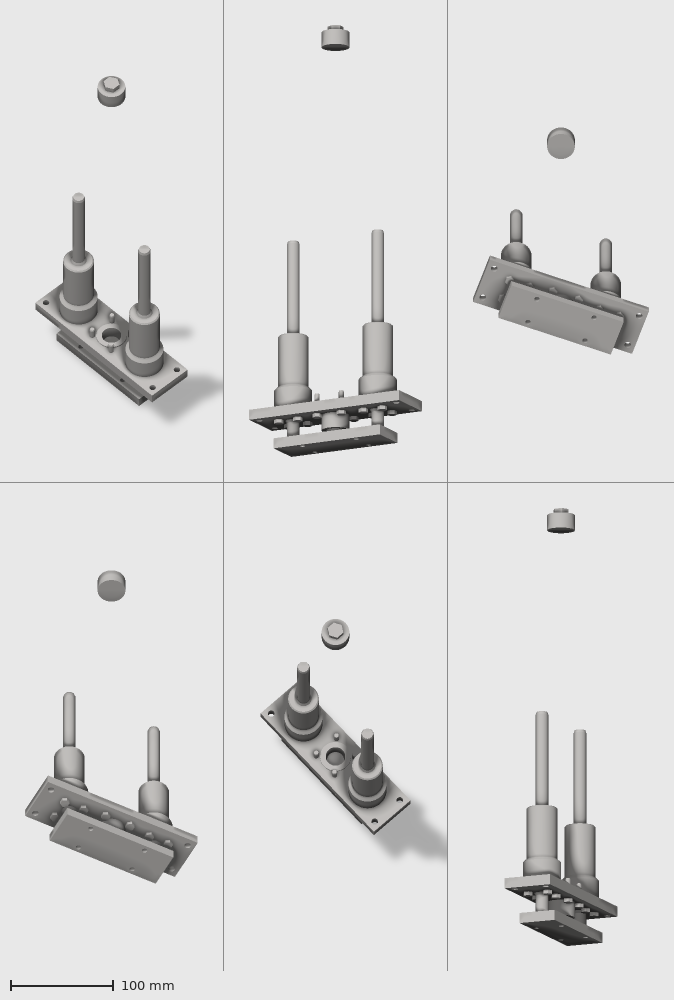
import cadquery as cq
import math

total_height = 421.0

base_length = 116.0
base_width = 37.0
plate_thickness = 10.0
base_hole_dia = 5.0
base_hole_x = 29.5
base_hole_y = 13.0
rod_dia = 12.0
rod_top = 210.5
rod_chamfer_height = 2.5
rod_chamfer_width = 1.0
rod_spacing = 92.5
post_dia = 17.0

flange_length = 164.0
flange_width = 48.0
plate_gap = 20.0
corner_hole_dia = 6.5
corner_hole_x = 75.0
corner_hole_y = 16.5

bushing_base_dia = 37.0
bushing_base_height = 20.0
bushing_neck_dia = 30.0
bushing_neck_top = 115.5
bushing_neck_chamfer = 1.3
lip_dia = 15.5
lip_height = 2.5

boss_dia = 30.0
boss_height = 1.3
sleeve_dia = 27.0
sleeve_length = 15.0
bore_dia = 19.0

screw_dia = 5.0
screw_tip_dia = 4.12
screw_chamfer_height = 1.3
screw_stick_out = 10.0
head_across_flats = 8.0
head_height = 3.8
sleeve_screw_spacing = 26.5
bushing_screw_spacing = 20.5

cap_dia = 27.0
cap_height = 15.0
cap_hex_across_flats = 14.0
cap_hex_height = 5.5

base_top = plate_thickness
flange_bottom = base_top + plate_gap
flange_top = flange_bottom + plate_thickness
sleeve_bottom = flange_bottom - sleeve_length
rod_places = [(-rod_spacing / 2, 0), (rod_spacing / 2, 0)]


def mirrored_places(x, y):
    """Four places mirrored about both centre planes."""
    return [(sx * x, sy * y) for sx in (-1, 1) for sy in (-1, 1)]


def cylinder(dia, bottom, top):
    """Upright cylinder on the Z axis."""
    return cq.Workplane("XY").workplane(offset=bottom).circle(dia / 2).extrude(top - bottom)


def hexagon(across_flats, bottom, top):
    """Upright hexagonal prism with corners pointing along Y."""
    across_corners = across_flats / math.cos(math.pi / 6)
    prism = cq.Workplane("XY").workplane(offset=bottom).polygon(6, across_corners).extrude(top - bottom)
    return prism.rotate((0, 0, 0), (0, 0, 1), 90)


def plate(length, width, bottom, hole_dia, hole_places):
    """Flat plate with four through holes."""
    slab = cq.Workplane("XY").workplane(offset=bottom).rect(length, width).extrude(plate_thickness)
    return slab.faces(">Z").workplane(origin=(0, 0, 0)).pushPoints(hole_places).hole(hole_dia)


def turned(profile):
    """Solid of revolution about Z from (radius, height) points."""
    return cq.Workplane("XZ").polyline(profile).close().revolve(360, (0, 0), (0, 1))


def place(shape, spot):
    """Copy of a shape moved sideways to a spot in plan."""
    return shape.translate((spot[0], spot[1], 0))


def make_rod():
    """Guide rod with a chamfered top end."""
    radius = rod_dia / 2
    return turned([
        (0, base_top),
        (radius, base_top),
        (radius, rod_top - rod_chamfer_height),
        (radius - rod_chamfer_width, rod_top),
        (0, rod_top),
    ])


def make_slide():
    """Base plate with the guide rods and a post that reaches into the sleeve bore with clearance."""
    hole_places = mirrored_places(base_hole_x, base_hole_y)
    body = plate(base_length, base_width, 0, base_hole_dia, hole_places)
    body = body.union(cylinder(post_dia, base_top, flange_bottom))
    for spot in rod_places:
        body = body.union(place(make_rod(), spot))
    return body


def make_bushing():
    """Stepped guide bushing with a conical wiper lip at each end."""
    base_radius = bushing_base_dia / 2
    neck_radius = bushing_neck_dia / 2
    rod_radius = rod_dia / 2
    lip_radius = lip_dia / 2
    base_shoulder = flange_top + bushing_base_height
    neck_start = base_shoulder + base_radius - neck_radius
    return turned([
        (0, flange_bottom - lip_height),
        (rod_radius, flange_bottom - lip_height),
        (lip_radius, flange_bottom),
        (base_radius, flange_bottom),
        (base_radius, base_shoulder),
        (neck_radius, neck_start),
        (neck_radius, bushing_neck_top - bushing_neck_chamfer),
        (neck_radius - bushing_neck_chamfer, bushing_neck_top),
        (lip_radius, bushing_neck_top),
        (rod_radius, bushing_neck_top + lip_height),
        (0, bushing_neck_top + lip_height),
    ])


def make_screw_head():
    """Hex screw head under the flange plate."""
    return hexagon(head_across_flats, flange_bottom - head_height, flange_bottom)


def make_sleeve_screw():
    """Hex-head screw through the flange plate with a chamfered tip."""
    tip = flange_top + screw_stick_out
    shank = turned([
        (0, flange_bottom),
        (screw_dia / 2, flange_bottom),
        (screw_dia / 2, tip - screw_chamfer_height),
        (screw_tip_dia / 2, tip),
        (0, tip),
    ])
    return shank.union(make_screw_head())


def make_housing():
    """Flange plate with the centre sleeve, guide bushings and screws."""
    hole_places = mirrored_places(corner_hole_x, corner_hole_y)
    body = plate(flange_length, flange_width, flange_bottom, corner_hole_dia, hole_places)

    boss_top = flange_top + boss_height
    body = body.union(cylinder(boss_dia, flange_bottom, boss_top))
    body = body.union(cylinder(sleeve_dia, sleeve_bottom, flange_bottom))
    for spot in mirrored_places(sleeve_screw_spacing / 2, sleeve_screw_spacing / 2):
        body = body.union(place(make_sleeve_screw(), spot))
    body = body.cut(cylinder(bore_dia, sleeve_bottom, boss_top))

    for bushing_spot in rod_places:
        body = body.union(place(make_bushing(), bushing_spot))
        for x, y in mirrored_places(bushing_screw_spacing / 2, bushing_screw_spacing / 2):
            body = body.union(place(make_screw_head(), (bushing_spot[0] + x, y)))
        body = body.cut(place(cylinder(rod_dia, 0, rod_top), bushing_spot))
    return body


def make_cap():
    """Round cap with a hexagonal head on top."""
    hex_bottom = total_height - cap_hex_height
    drum = cylinder(cap_dia, hex_bottom - cap_height, hex_bottom)
    return drum.union(hexagon(cap_hex_across_flats, hex_bottom, total_height))


slide = make_slide()
housing = make_housing()
cap = make_cap()

result = cq.Compound.makeCompound([slide.solids().val(), housing.solids().val(), cap.solids().val()])